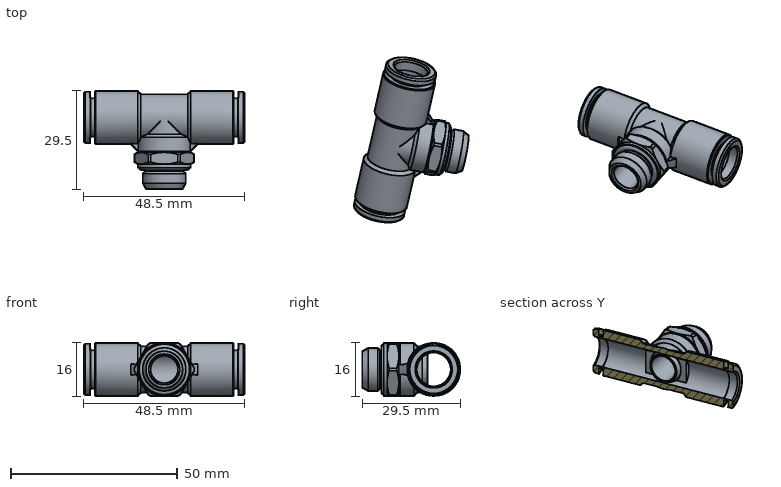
import cadquery as cq
import math


run_length = 48.5
sleeve_dia = 16.0
waist_dia = 14.0
waist_half_length = 7.0
sleeve_step = (sleeve_dia - waist_dia) / 2
collet_length = 3.3
sleeve_chamfer = 0.3

collet_flange_dia = 15.5
collet_flange_thickness = 1.95
collet_flange_chamfer = 0.55
collet_neck_dia = 11.6
collet_shoulder_dia = 12.0
collet_shoulder_length = 0.25

collet_bore_dia = 10.15
collet_bore_chamfer = 0.5
socket_dia = 10.2
passage_half_length = waist_half_length
passage_floor_y = -3.4

branch_root_dia = waist_dia
branch_dia = 16.0
branch_cone_start = 5.0
branch_cone_length = (branch_dia - branch_root_dia) / 2
branch_chamfer = 0.4
branch_end = 10.5

gusset_angle = 20.0
gusset_root_radius = branch_dia / 2 - branch_chamfer + branch_end - sleeve_dia / 2
gusset_clearance = 1.0

journal_dia = 10.45
journal_nose_dia = 9.2
journal_start = 1.85
stud_bore_dia = 8.2
stud_bore_chamfer = 0.55
hex_start = branch_end
hex_end = 14.0
hex_across_flats = 16.0
hex_corner_dia = 18.0
hex_chamfer_angle = 30.0
collar_dia = 16.0
collar_end = 15.05
seal_radius = 0.9
seal_center = 14.9
undercut_dia = 11.62
undercut_end = 16.2
thread_dia = 13.0
thread_full_start = undercut_end + (thread_dia - undercut_dia) / 2
thread_full_end = 19.7
thread_tip_dia = 11.0
stud_end = 21.5


def run_cylinder(diameter, x_start, x_end):
    """Cylinder on the run axis between two X positions."""
    return cq.Workplane("YZ", origin=(x_start, 0, 0)).circle(diameter / 2).extrude(x_end - x_start)


def revolve_about_run(points):
    """Solid from an (x, radius) outline, turned about the X axis."""
    return cq.Workplane("XY").polyline(points).close().revolve(360, (0, 0, 0), (1, 0, 0))


def revolve_about_branch(profile):
    """Solid from a closed (radius, y) outline, turned about the Y axis."""
    return profile.close().revolve(360, (0, 0, 0), (0, 1, 0))


def make_run_half():
    """Outside of the +X half of the run, with its collet."""
    end = run_length / 2
    sleeve_end = end - collet_length
    flange_start = end - collet_flange_thickness
    sleeve_start = waist_half_length + sleeve_step
    shoulder_start = flange_start - collet_shoulder_length
    return revolve_about_run([
        (0, 0),
        (0, waist_dia / 2),
        (waist_half_length, waist_dia / 2),
        (sleeve_start, sleeve_dia / 2),
        (sleeve_end - sleeve_chamfer, sleeve_dia / 2),
        (sleeve_end, sleeve_dia / 2 - sleeve_chamfer),
        (sleeve_end, collet_neck_dia / 2),
        (shoulder_start, collet_neck_dia / 2),
        (shoulder_start, collet_shoulder_dia / 2),
        (flange_start, collet_shoulder_dia / 2),
        (flange_start, collet_flange_dia / 2),
        (end - collet_flange_chamfer, collet_flange_dia / 2),
        (end, collet_flange_dia / 2 - collet_flange_chamfer),
        (end, 0),
    ])


def make_socket():
    """Space for one tube on the +X side, chamfered at its mouth."""
    end = run_length / 2
    collet_end = end - collet_length
    return revolve_about_run([
        (passage_half_length, 0),
        (passage_half_length, socket_dia / 2),
        (collet_end, socket_dia / 2),
        (collet_end, collet_bore_dia / 2),
        (end - collet_bore_chamfer, collet_bore_dia / 2),
        (end, collet_bore_dia / 2 + collet_bore_chamfer),
        (end, 0),
    ])


def make_passage():
    """Round passage between the sockets, with a flat floor on the branch side."""
    length = 2 * passage_half_length
    headroom = socket_dia / 2 - passage_floor_y
    above_floor = cq.Workplane("XY").box(length, headroom, socket_dia, centered=(True, False, True))
    bore = run_cylinder(socket_dia, -passage_half_length, passage_half_length)
    return bore.intersect(above_floor.translate((0, passage_floor_y, 0)))


def make_branch():
    """Branch that opens over a cone from waist size to full size."""
    cone_end = branch_cone_start + branch_cone_length
    profile = cq.Workplane("XY").polyline([
        (0, 0),
        (branch_root_dia / 2, 0),
        (branch_root_dia / 2, -branch_cone_start),
        (branch_dia / 2, -cone_end),
        (branch_dia / 2, -branch_end),
        (0, -branch_end),
    ])
    return revolve_about_branch(profile)


def make_gusset():
    """Square-edged wedge on the +X side, swept about the branch axis."""
    buried_y = -(sleeve_dia + socket_dia) / 4
    buried_radius = (branch_dia + journal_dia) / 4
    wedge = (
        cq.Workplane("XY")
        .polyline([
            (buried_radius, buried_y),
            (gusset_root_radius, buried_y),
            (gusset_root_radius, -branch_end),
            (buried_radius, -branch_end),
        ])
        .close()
        .revolve(gusset_angle, (0, 0, 0), (0, 1, 0))
    )
    return wedge.rotate((0, 0, 0), (0, 1, 0), -gusset_angle / 2)


def make_end_chamfer():
    """Material outside the 45 degree cone that bevels both the gussets and the branch end."""
    outer_radius = gusset_root_radius + gusset_clearance
    profile = cq.Workplane("XY").polyline([
        (outer_radius, -sleeve_dia / 2 + gusset_clearance),
        (outer_radius, -branch_end - gusset_clearance),
        (branch_dia / 2 - branch_chamfer - gusset_clearance, -branch_end - gusset_clearance),
    ])
    return revolve_about_branch(profile)


def make_tee():
    socket = make_socket()
    half = make_run_half()
    gusset = make_gusset()
    branch = make_branch().union(gusset).union(gusset.mirror("YZ")).cut(make_end_chamfer())
    tee = half.union(half.mirror("YZ")).union(branch)
    tee = tee.cut(socket).cut(socket.mirror("YZ")).cut(make_passage())
    return tee.cut(make_journal())


def make_journal():
    """Part of the stud inside the tee, with a tapered nose in the passage."""
    profile = cq.Workplane("XY").polyline([
        (0, -journal_start),
        (journal_nose_dia / 2, -journal_start),
        (journal_dia / 2, passage_floor_y),
        (journal_dia / 2, -branch_end),
        (0, -branch_end),
    ])
    return revolve_about_branch(profile)


def make_hexagon():
    """Hexagon with flats facing +Z and -Z, corners trimmed and chamfered on both sides."""
    across_corners = hex_across_flats / math.cos(math.pi / 6)
    prism = (
        cq.Workplane("XZ", origin=(0, -hex_start, 0))
        .polygon(6, across_corners)
        .extrude(hex_end - hex_start)
    )
    face_radius = hex_across_flats / 2
    corner_radius = hex_corner_dia / 2
    chamfer_length = (corner_radius - face_radius) * math.tan(math.radians(hex_chamfer_angle))
    envelope = cq.Workplane("XY").polyline([
        (0, -hex_start),
        (face_radius, -hex_start),
        (corner_radius, -hex_start - chamfer_length),
        (corner_radius, -hex_end + chamfer_length),
        (face_radius, -hex_end),
        (0, -hex_end),
    ])
    return prism.intersect(revolve_about_branch(envelope))


def make_threaded_end():
    """Collar, undercut and plain threaded end in one turned shape."""
    profile = cq.Workplane("XY").polyline([
        (0, -hex_end),
        (collar_dia / 2, -hex_end),
        (collar_dia / 2, -collar_end),
        (undercut_dia / 2, -collar_end),
        (undercut_dia / 2, -undercut_end),
        (thread_dia / 2, -thread_full_start),
        (thread_dia / 2, -thread_full_end),
        (thread_tip_dia / 2, -stud_end),
        (0, -stud_end),
    ])
    return revolve_about_branch(profile)


def make_seal():
    """Ring of round section on the undercut, partly sunk into the collar."""
    ring_radius = undercut_dia / 2 + seal_radius
    section = cq.Workplane("XY").center(ring_radius, -seal_center).circle(seal_radius)
    return section.revolve(360, (-ring_radius, 0, 0), (-ring_radius, 1, 0))


def make_stud():
    stud = make_journal().union(make_hexagon())
    stud = stud.union(make_threaded_end()).union(make_seal())
    bore_radius = stud_bore_dia / 2
    bore = cq.Workplane("XY").polyline([
        (0, -journal_start),
        (bore_radius, -journal_start),
        (bore_radius, -stud_end + stud_bore_chamfer),
        (bore_radius + stud_bore_chamfer, -stud_end),
        (0, -stud_end),
    ])
    return stud.cut(revolve_about_branch(bore))


tee = make_tee()
stud = make_stud()

result = cq.Compound.makeCompound([tee.val(), stud.val()])